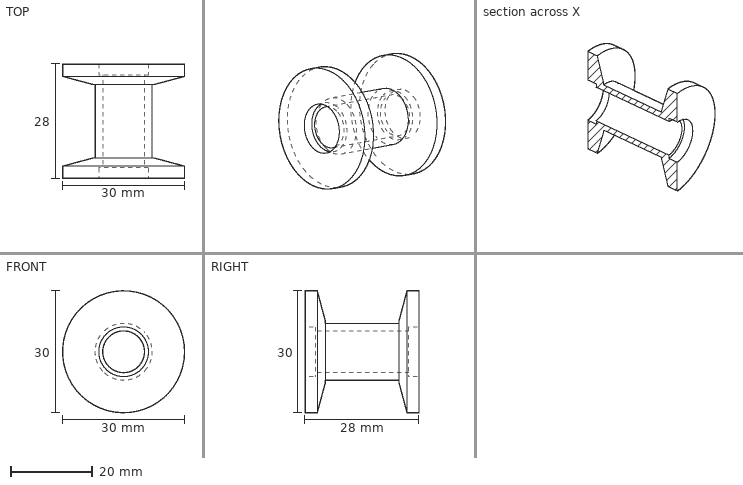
import cadquery as cq
import math

LENGTH = 28.0
FLANGE_DIAMETER = 30.0
RIM_THICKNESS = 3.0
TAPER_ANGLE = 15.0
FLANGE_THICKNESS = 5.0
TUBE_DIAMETER = 14.0
BORE_DIAMETER = 10.2
RECESS_DIAMETER = 12.2
RECESS_DEPTH = 2.6

flange_radius = FLANGE_DIAMETER / 2
half_length = LENGTH / 2
taper_height = FLANGE_THICKNESS - RIM_THICKNESS
taper_foot_radius = flange_radius - taper_height / math.tan(math.radians(TAPER_ANGLE))


def axial_cylinder(diameter, start_y, length):
    """Cylinder on the Y axis running from start_y towards +Y."""
    plane = cq.Workplane("XZ", origin=(0, start_y, 0))
    return plane.circle(diameter / 2).extrude(-length)


def front_flange():
    """Flange at the -Y end: a straight rim, then a taper down to a narrow flat ring."""
    end_y = -half_length
    profile = (
        cq.Workplane("XY")
        .moveTo(0, end_y)
        .lineTo(flange_radius, end_y)
        .lineTo(flange_radius, end_y + RIM_THICKNESS)
        .lineTo(taper_foot_radius, end_y + FLANGE_THICKNESS)
        .lineTo(0, end_y + FLANGE_THICKNESS)
        .close()
    )
    return profile.revolve(360, (0, 0, 0), (0, 1, 0))


def spool_body():
    """Tube joining the two mirrored flanges."""
    flange = front_flange()
    tube = axial_cylinder(TUBE_DIAMETER, -half_length, LENGTH)
    return tube.union(flange).union(flange.mirror("XZ"))


def cut_bore(body):
    """Through bore, with a centring recess in each end face."""
    recess = axial_cylinder(RECESS_DIAMETER, -half_length, RECESS_DEPTH)
    bore = axial_cylinder(BORE_DIAMETER, -half_length, LENGTH)
    return body.cut(bore).cut(recess).cut(recess.mirror("XZ"))


result = cut_bore(spool_body())